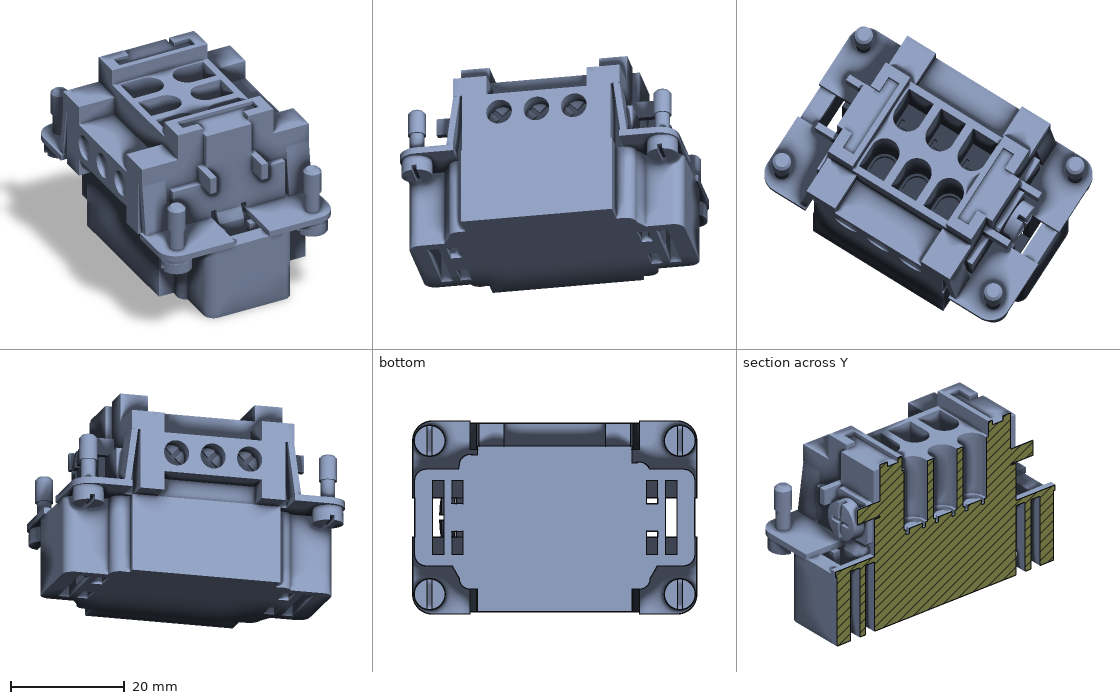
import cadquery as cq
import math


base_top = 13.95
plate_thick = 1.15
plate_top = base_top + plate_thick
shoulder_top = 28.1
label_ledge = 24.5
deck_top = 30.15
tower_top = 33.15
latch_top = 32.2

body_x = 14.9
body_y = 16.6
tower_y = 9.5
deck_x = 9.8
label_x = 8.95
recess_top, recess_back_y = 17.35, -12.0

wall_front_y = -12.55
wall_x = 13.55
rib_x = 16.8
left_rib_front_y = -11.1
right_rib_front_y = -9.75
rib_back_y = 12.6
rib_round = 1.9
rib_flat_x = 14.2
rib_relief_x, rib_relief_z = 14.6, 12.95
rib_front_slope = 1.5
rib_back_slope = 1.25
end_x = 24.65
end_y = 8.5
end_round = 2.0
cavity_in, cavity_out, cavity_y = 16.15, 21.5, 6.5
web_in, web_out = 18.1, 19.5
floor_thick = 1.0

pad_x, pad_y, pad_top = 16.15, 11.15, 22.6
latch_y = 4.5
slot_in, slot_out, slot_y = 10.8, 13.05, 7.55
fin_tip, fin_thick = 20.0, 1.2
fin_bottom, fin_top = 22.75, 25.85
lip_y, lip_top, lip_x = 2.45, 15.85, 17.25
catch_slot_y, catch_slot_top = 3.55, 16.5

plate_x, plate_y, plate_inner_y, plate_round = 25.0, 17.0, 3.45, 3.5
flange_top, flange_y = 24.65, 12.0
flange_foot_x = 16.2
flange_inset = 0.05
flange_pocket_x = 13.3
screw_x, screw_y = 22.0, 13.5
shank_r, collar_r = 1.3, 1.6
collar_bottom, collar_edge, collar_top = 19.05, 23.15, 23.65
head_r, washer_r = 2.75, 2.7
head_bottom, head_top = 11.2, 13.15
head_slot_width, head_slot_depth = 0.9, 0.9

earth_z = 21.5
washer_plate_size, washer_plate_corner, washer_plate_x = 8.4, 0.5, 17.3
earth_r, earth_neck_r = 3.6, 2.5
earth_back, earth_rim, earth_crown = 17.55, 19.95, 20.25
cross_floor, cross_width, cross_short = 18.6, 0.9, 4.75

pitch = 6.7
entry_r, entry_y, entry_flat_y = 2.6, 3.8, 8.25
entry_floor = 18.0
clamp_outer_r, clamp_inner_r, clamp_end_y = 2.15, 1.55, 5.35
clamp_depth, clamp_step_y, clamp_step_depth = 1.0, 4.0, 0.5
terminal_z, terminal_r, terminal_depth = 20.9, 2.3, 3.0
terminal_cross_width, terminal_cross_depth = 0.85, 0.5


def box(x0, x1, y0, y1, z0, z1):
    return cq.Workplane("XY").box(x1 - x0, y1 - y0, z1 - z0, centered=False).translate((x0, y0, z0))


def both_ends(shape):
    return shape.union(shape.mirror("YZ"))


def both_sides(shape):
    return shape.union(shape.mirror("XZ"))


def end_columns(front_y):
    """Front and rear round-cornered columns of the +X end, as one prism."""
    bend = rib_round * math.sqrt(0.5)
    centre_x = rib_x - rib_round
    front_centre_y = front_y + rib_round
    back_centre_y = rib_back_y - rib_round
    flat_y = front_centre_y - math.sqrt(rib_round ** 2 - (centre_x - rib_flat_x) ** 2)
    columns = (
        cq.Workplane("XY").moveTo(0, flat_y).lineTo(rib_flat_x, flat_y)
        .threePointArc((centre_x + bend, front_centre_y - bend), (rib_x, front_centre_y))
        .lineTo(rib_x + rib_front_slope, 0).lineTo(rib_x + rib_back_slope, end_y)
        .lineTo(rib_x, back_centre_y)
        .threePointArc((centre_x + bend, back_centre_y + bend), (centre_x, rib_back_y))
        .lineTo(0, rib_back_y).close().extrude(base_top)
    )
    return columns.cut(box(rib_flat_x, rib_relief_x, front_y, flat_y, rib_relief_z, base_top))


def lower_body():
    """Solid core, rounded corner columns and hollow end blocks."""
    core = box(-wall_x, wall_x, wall_front_y, body_y, 0, base_top)
    columns = end_columns(right_rib_front_y).union(end_columns(left_rib_front_y).mirror("YZ"))
    block = box(-end_x, end_x, -end_y, end_y, 0, base_top).edges("|Z").fillet(end_round)
    body = core.union(columns).union(block)

    cavity = box(cavity_in, cavity_out, -cavity_y, cavity_y, 0, base_top)
    web = box(web_in, web_out, -cavity_y, cavity_y, 0, base_top)
    web = web.cut(box(web_in, web_out, -lip_y, lip_y, floor_thick, base_top))
    floor = box(cavity_in, web_out, -lip_y, lip_y, 0, floor_thick)
    return body.cut(both_ends(cavity)).union(both_ends(web.union(floor)))


def upper_body():
    """Stepped housing with four corner shoulders and a sunk deck in the tower."""
    body = box(-body_x, body_x, -body_y, body_y, base_top, shoulder_top)
    body = body.union(box(-body_x, body_x, -tower_y, tower_y, base_top, tower_top))
    body = body.cut(box(-deck_x, deck_x, -tower_y, tower_y, deck_top, tower_top))
    ledge = box(-label_x, label_x, tower_y, body_y, label_ledge, shoulder_top)
    body = body.cut(both_sides(ledge))
    return body.cut(box(-label_x, label_x, -body_y, recess_back_y, base_top, recess_top))


def latch_slots():
    """T-shaped pockets in the tower top, open to both ends."""
    head = box(slot_in, slot_out, -slot_y, slot_y, latch_top, tower_top)
    stem = box(slot_in, body_x, -latch_y, latch_y, latch_top, tower_top)
    return both_ends(head.union(stem))


def end_details():
    """Raised pad, latch block, fins and sloped catch on each end face."""
    pad = box(body_x, pad_x, -pad_y, pad_y, base_top, pad_top)
    latch = box(body_x, pad_x, -latch_y, latch_y, base_top, latch_top)
    fin = box(body_x, fin_tip, latch_y, latch_y + fin_thick, fin_bottom, fin_top)
    catch_slot = box(body_x, pad_x, lip_y, catch_slot_y, base_top, catch_slot_top)
    lip = (
        cq.Workplane("XZ")
        .polyline([(pad_x, lip_top), (lip_x, base_top), (lip_x, 0), (pad_x, 0)]).close()
        .extrude(lip_y, both=True)
    )
    details = pad.union(latch).cut(both_sides(catch_slot)).union(both_sides(fin)).union(lip)
    return both_ends(details)


def flange_pockets():
    """Corner recesses in the end faces that take the plate flanges."""
    pocket = box(flange_pocket_x, body_x, flange_y, body_y, base_top, flange_top)
    return both_ends(both_sides(pocket))


def mounting_plates():
    """Four corner plates, each with a leaning flange let into the body."""
    plate = box(body_x, plate_x, plate_inner_y, plate_y, base_top, plate_top)
    plate = plate.edges("|Z and >X and >Y").fillet(plate_round)
    outline = [
        (flange_foot_x, plate_top),
        (body_x, flange_top),
        (body_x - plate_thick, flange_top),
        (flange_foot_x - plate_thick, plate_top),
        (flange_foot_x - plate_thick, base_top),
        (flange_foot_x, base_top),
    ]
    flange = (
        cq.Workplane("XZ", origin=(0, body_y - flange_inset, 0))
        .polyline(outline).close().extrude(body_y - flange_inset - flange_y)
    )
    return both_ends(both_sides(plate.union(flange)))


def captive_screws():
    """Slotted screws hanging below the plates, with a thicker tip above."""
    profile = [
        (0, head_bottom), (head_r, head_bottom), (head_r, head_top), (washer_r, head_top),
        (washer_r, base_top), (shank_r, base_top), (shank_r, collar_bottom), (collar_r, collar_bottom),
        (collar_r, collar_edge), (collar_r - (collar_top - collar_edge), collar_top), (0, collar_top),
    ]
    screw = cq.Workplane("XZ").polyline(profile).close().revolve(360, (0, 0, 0), (0, 1, 0))
    half_slot = head_slot_width / 2
    slot = box(-half_slot, half_slot, -head_r, head_r, head_bottom, head_bottom + head_slot_depth)
    return both_ends(both_sides(screw.cut(slot).translate((screw_x, screw_y, 0))))


def earth_screw():
    """Domed cross-slot screw on a square washer plate, pointing along -X."""
    plate = (
        cq.Workplane("YZ").rect(washer_plate_size, washer_plate_size)
        .extrude(washer_plate_x - body_x).edges("|X").chamfer(washer_plate_corner)
        .translate((-washer_plate_x, 0, 0))
    )
    rise = earth_crown - earth_rim
    dome_r = (earth_r ** 2 + rise ** 2) / (2 * rise)
    half_r = earth_r / 2
    dome_mid_x = earth_crown - dome_r + math.sqrt(dome_r ** 2 - half_r ** 2)
    head = (
        cq.Workplane("XY").moveTo(-body_x, 0).lineTo(-body_x, earth_neck_r)
        .lineTo(-earth_back, earth_neck_r).lineTo(-earth_back, earth_r).lineTo(-earth_rim, earth_r)
        .threePointArc((-dome_mid_x, half_r), (-earth_crown, 0)).close()
        .revolve(360, (0, 0, 0), (1, 0, 0))
    )
    half_cross = cross_width / 2
    half_short = cross_short / 2
    long_slot = box(-earth_crown, -cross_floor, -half_cross, half_cross, -earth_r, earth_r)
    short_slot = box(-earth_crown, -cross_floor, -half_short, half_short, -half_cross, half_cross)
    return plate.union(head.cut(long_slot).cut(short_slot)).translate((0, 0, earth_z))


def arch(radius, mouth_y, z0, z1):
    """Prism with a round inner end about the wire entry axis and a flat end at mouth_y."""
    return (
        cq.Workplane("XY", origin=(0, 0, z0)).moveTo(-radius, mouth_y).lineTo(-radius, entry_y)
        .threePointArc((0, entry_y - radius), (radius, entry_y)).lineTo(radius, mouth_y)
        .close().extrude(z1 - z0)
    )


def wire_entry():
    """D-shaped well with a horseshoe groove around a stepped half-round in its floor."""
    well = arch(entry_r, entry_flat_y, entry_floor, deck_top)
    groove_floor = entry_floor - clamp_depth
    groove = arch(clamp_outer_r, clamp_end_y, groove_floor, entry_floor)
    groove = groove.cut(arch(clamp_inner_r, clamp_end_y, groove_floor, entry_floor))
    step = arch(clamp_inner_r, clamp_step_y, entry_floor - clamp_step_depth, entry_floor)
    return well.union(groove).union(step)


def terminal_hole():
    """Round hole into the rear wall, ending on a screw with a diagonal cross slot."""
    floor_y = body_y - terminal_depth
    hole = cq.Workplane("XZ", origin=(0, body_y, terminal_z)).circle(terminal_r).extrude(terminal_depth)
    cross = cq.Workplane("XZ", origin=(0, floor_y, terminal_z))
    for angle in (45, 135):
        arm = (
            cross.transformed(rotate=(0, 0, angle)).rect(2 * terminal_r, terminal_cross_width)
            .extrude(terminal_cross_depth)
        )
        hole = hole.union(arm)
    return hole


result = lower_body().union(upper_body()).cut(latch_slots()).cut(flange_pockets())
result = result.union(end_details()).union(mounting_plates()).union(captive_screws()).union(earth_screw())

terminal = both_sides(wire_entry().union(terminal_hole()))
for column in (-1, 0, 1):
    result = result.cut(terminal.translate((column * pitch, 0, 0)))